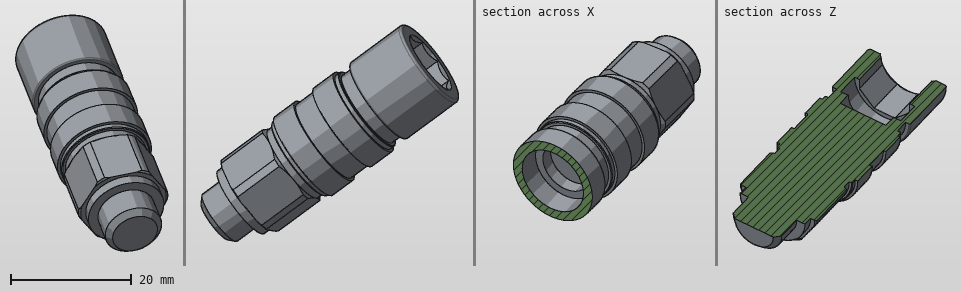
import cadquery as cq
import math


COLLAR_END = 11.0
COLLAR_DIAMETER = 15.7
COLLAR_FRONT_RADIUS = 0.45
COLLAR_REAR_RADIUS = 0.25

NECK_END = 13.3
NECK_DIAMETER = 13.9

SLEEVE_END = 27.7
SLEEVE_DIAMETER = 15.2
SLEEVE_EDGE_CHAMFER = 0.15

BAND_DIAMETER = 16.2
BAND_WIDTH = 4.3
BAND_INSET = 0.9

HEX_START = 29.05
SHOULDER_DIAMETER = 14.0

HEX_END = 38.4
HEX_SIDES = 6
HEX_ACROSS_FLATS = 14.0
HEX_CORNER_DIAMETER = 15.4
HEX_FRONT_CHAMFER = 0.4
HEX_REAR_CHAMFER = 0.2
HEX_REAR_FACE_DIAMETER = 14.7

FLANGE_END = 40.05
FLANGE_DIAMETER = 13.0

TOTAL_LENGTH = 45.5
STEM_DIAMETER = 9.73
STEM_CHAMFER = 1.0

SOCKET_SIDES = 8
SOCKET_ACROSS_FLATS = 10.05
SOCKET_DEPTH = 7.0
MOUTH_DIAMETER = 11.2
MOUTH_CONE_ANGLE = 45.0
CHAMBER_DIAMETER = 12.0
CHAMBER_END = COLLAR_END
BORE_DIAMETER = 9.1
BORE_END = NECK_END


def yz_plane(x):
    """Plane normal to the part axis; local x is Y and local y is Z."""
    return cq.Workplane("YZ", origin=(x, 0, 0))


def cylinder(start, end, diameter):
    return yz_plane(start).circle(diameter / 2).extrude(end - start)


def prism(start, end, sides, across_flats, turn):
    """Regular prism along X, turned by the given angle about the axis."""
    corner_diameter = across_flats / math.cos(math.pi / sides)
    body = yz_plane(start).polygon(sides, corner_diameter).extrude(end - start)
    return body.rotate((0, 0, 0), (1, 0, 0), turn)


def revolve_about_axis(profile_points):
    """Revolve a closed (x, radius) outline about the X axis."""
    outline = cq.Workplane("XY").polyline(profile_points).close()
    return outline.revolve(360, (0, 0, 0), (1, 0, 0))


def make_collar():
    collar = cylinder(0, COLLAR_END, COLLAR_DIAMETER)
    collar = collar.faces("<X").edges().fillet(COLLAR_FRONT_RADIUS)
    return collar.faces(">X").edges().fillet(COLLAR_REAR_RADIUS)


def make_sleeve():
    sleeve = cylinder(NECK_END, SLEEVE_END, SLEEVE_DIAMETER)
    sleeve = sleeve.edges("%CIRCLE").chamfer(SLEEVE_EDGE_CHAMFER)
    first_band_start = NECK_END + BAND_INSET
    second_band_start = SLEEVE_END - BAND_INSET - BAND_WIDTH
    for start in (first_band_start, second_band_start):
        sleeve = sleeve.union(cylinder(start, start + BAND_WIDTH, BAND_DIAMETER))
    return sleeve


def make_hex():
    """Hexagon with flats facing +Z and -Z and its corners turned down."""
    hexagon = prism(HEX_START, HEX_END, HEX_SIDES, HEX_ACROSS_FLATS, turn=0)
    corner_radius = HEX_CORNER_DIAMETER / 2
    turned_blank = revolve_about_axis([
        (HEX_START, 0),
        (HEX_START, HEX_ACROSS_FLATS / 2),
        (HEX_START + HEX_FRONT_CHAMFER, corner_radius),
        (HEX_END - HEX_REAR_CHAMFER, corner_radius),
        (HEX_END, HEX_REAR_FACE_DIAMETER / 2),
        (HEX_END, 0),
    ])
    return hexagon.intersect(turned_blank)


def make_stem():
    stem = cylinder(FLANGE_END, TOTAL_LENGTH, STEM_DIAMETER)
    return stem.faces(">X").chamfer(STEM_CHAMFER)


def make_socket():
    """Cutter for the octagonal socket, its conical mouth, the chamber and the bore."""
    turn_to_flats = 180 / SOCKET_SIDES
    octagon = prism(0, SOCKET_DEPTH, SOCKET_SIDES, SOCKET_ACROSS_FLATS, turn_to_flats)
    mouth_radius = MOUTH_DIAMETER / 2
    cone_length = mouth_radius / math.tan(math.radians(MOUTH_CONE_ANGLE))
    mouth = revolve_about_axis([(0, 0), (0, mouth_radius), (cone_length, 0)])
    bore = cylinder(0, BORE_END, BORE_DIAMETER)
    chamber = cylinder(SOCKET_DEPTH, CHAMBER_END, CHAMBER_DIAMETER)
    return octagon.union(mouth).union(chamber).union(bore)


neck = cylinder(COLLAR_END, NECK_END, NECK_DIAMETER)
shoulder = cylinder(SLEEVE_END, HEX_START, SHOULDER_DIAMETER)
flange = cylinder(HEX_END, FLANGE_END, FLANGE_DIAMETER)

result = make_collar()
for section in (neck, make_sleeve(), shoulder, make_hex(), flange, make_stem()):
    result = result.union(section)
result = result.cut(make_socket())